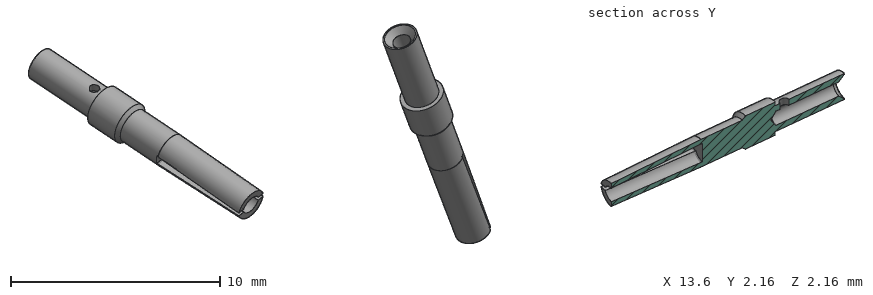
import cadquery as cq
import math

overall_length = 13.61

barrel_diameter = 1.7
wire_bore_diameter = 0.88
wire_bore_depth = 4.0
drill_point_angle = 118.0
entry_diameter = 1.53
entry_depth = (entry_diameter - wire_bore_diameter) / 2
inspection_hole_diameter = 0.5
inspection_hole_x = 3.5

collar_diameter = 2.16
collar_start = 4.03
collar_end = 5.97
collar_bevel_length = 0.2

socket_diameter = 1.8
prong_start = 8.38
slot_start = 8.3
slot_width = 0.5
tip_gap = 0.2
socket_bore_diameter = 1.15

barrel_radius = barrel_diameter / 2
wire_bore_radius = wire_bore_diameter / 2
collar_radius = collar_diameter / 2
socket_radius = socket_diameter / 2

prong_length = overall_length - prong_start
prong_tilt = math.degrees(math.asin((slot_width - tip_gap) / 2 / prong_length))


def cylinder_along_x(diameter, start, end):
    return cq.Workplane("YZ", origin=(start, 0, 0)).circle(diameter / 2).extrude(end - start)


def make_collar():
    """Collar whose bevel runs down to the socket diameter."""
    return (
        cq.Workplane("XZ")
        .moveTo(collar_start, 0)
        .lineTo(collar_start, collar_radius)
        .lineTo(collar_end - collar_bevel_length, collar_radius)
        .lineTo(collar_end, socket_radius)
        .lineTo(collar_end, 0)
        .close()
        .revolve(360, (0, 0, 0), (1, 0, 0))
    )


def make_body():
    """Barrel, collar and plain part of the socket."""
    barrel = cylinder_along_x(barrel_diameter, 0, collar_start)
    socket = cylinder_along_x(socket_diameter, collar_end, prong_start)
    return barrel.union(make_collar()).union(socket)


def make_wire_bore():
    """Blind drilled bore with a conical lead-in and a drill-point bottom."""
    point_depth = wire_bore_radius / math.tan(math.radians(drill_point_angle / 2))
    return (
        cq.Workplane("XZ")
        .moveTo(0, 0)
        .lineTo(0, entry_diameter / 2)
        .lineTo(entry_depth, wire_bore_radius)
        .lineTo(wire_bore_depth, wire_bore_radius)
        .lineTo(wire_bore_depth + point_depth, 0)
        .close()
        .revolve(360, (0, 0, 0), (1, 0, 0))
    )


def make_inspection_hole():
    """Radial hole from the top of the barrel into the wire bore."""
    return (
        cq.Workplane("XY", origin=(inspection_hole_x, 0, 0))
        .circle(inspection_hole_diameter / 2)
        .extrude(barrel_radius)
    )


def make_slot(start, end):
    """Block spanning the slot between the two prongs."""
    return cq.Workplane("XY").box(
        end - start, socket_diameter, slot_width, centered=(False, True, True)
    ).translate((start, 0, 0))


def make_upper_prong():
    """Half tube above the slot, tilted towards the axis about its outer root edge."""
    tube = cylinder_along_x(socket_diameter, prong_start, overall_length)
    tube = tube.cut(cylinder_along_x(socket_bore_diameter, prong_start, overall_length))
    upper_half = cq.Workplane("XY", origin=(prong_start, 0, slot_width / 2)).box(
        prong_length, socket_diameter, socket_radius, centered=(False, True, False)
    )
    hinge_start = (prong_start, 0, socket_radius)
    hinge_end = (prong_start, 1, socket_radius)
    return tube.intersect(upper_half).rotate(hinge_start, hinge_end, prong_tilt)


body = make_body()
body = body.cut(make_wire_bore())
body = body.cut(make_inspection_hole())
body = body.cut(cylinder_along_x(socket_bore_diameter, slot_start, prong_start))
body = body.cut(make_slot(slot_start, prong_start))

upper_prong = make_upper_prong()
lower_prong = upper_prong.mirror("XY")
result = body.union(upper_prong).union(lower_prong)